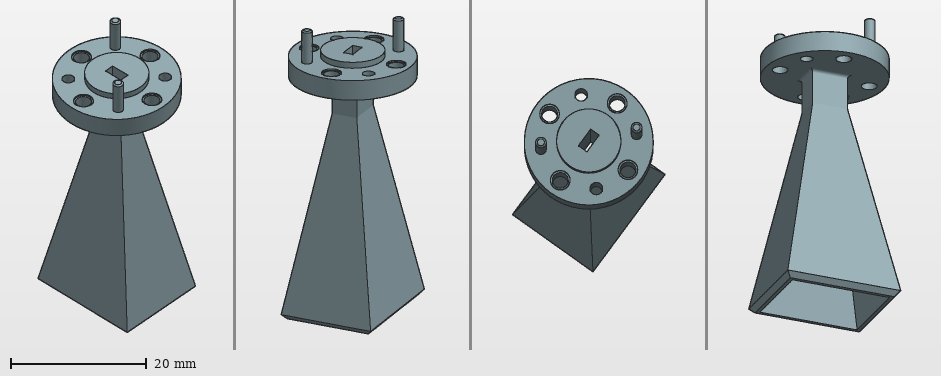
import cadquery as cq
import math

total_height = 45.25
flange_top = 40.15
flange_thickness = 3.12
boss_height = 0.95
neck_bottom = 31.6
mouth_bevel_height = 0.8

flange_diameter = 19.05
boss_diameter = 9.5
bolt_circle_radius = 7.15
screw_hole_diameter = 2.35
counterbore_diameter = 2.9
counterbore_depth = 0.23
dowel_hole_diameter = 1.85
pin_diameter = 1.6
pin_tip_chamfer_height = 0.2
pin_tip_chamfer_inset = 0.25

guide_width = 3.1
guide_depth = 1.55
wall = 1.25
neck_width = guide_width + 2 * wall
neck_depth = guide_depth + 2 * wall
neck_fillet = 0.5
horn_width = 18.15
horn_depth = 14.7
mouth_bevel_inset = 0.72

flange_bottom = flange_top - flange_thickness
boss_top = flange_top + boss_height


def box_between(width, depth, bottom, top):
    """Centred rectangular bar spanning two heights."""
    return cq.Workplane("XY").workplane(offset=bottom).rect(width, depth).extrude(top - bottom)


def frustum(bottom_size, top_size, bottom, top):
    """Centred rectangular frustum between two heights."""
    return (
        cq.Workplane("XY").workplane(offset=bottom).rect(*bottom_size)
        .workplane(offset=top - bottom).rect(*top_size).loft(ruled=True)
    )


def disc(diameter, bottom, top):
    return cq.Workplane("XY").workplane(offset=bottom).circle(diameter / 2).extrude(top - bottom)


def on_bolt_circle(shape, angle):
    """Move a centred shape out to an angle on the bolt circle."""
    x = bolt_circle_radius * math.cos(math.radians(angle))
    y = bolt_circle_radius * math.sin(math.radians(angle))
    return shape.translate((x, y, 0))


body = disc(flange_diameter, flange_bottom, flange_top)
body = body.union(box_between(neck_width, neck_depth, neck_bottom, flange_bottom))
junction = cq.selectors.BoxSelector(
    (-neck_width, -neck_depth, flange_bottom - neck_fillet / 2),
    (neck_width, neck_depth, flange_bottom + neck_fillet / 2),
)
body = body.edges("|X or |Y").edges(junction).fillet(neck_fillet)
body = body.union(disc(boss_diameter, flange_top, boss_top))

horn_size = (horn_width, horn_depth)
rim_size = (horn_width - 2 * mouth_bevel_inset, horn_depth - 2 * mouth_bevel_inset)
body = body.union(frustum(horn_size, (neck_width, neck_depth), mouth_bevel_height, neck_bottom))
body = body.union(frustum(rim_size, horn_size, 0, mouth_bevel_height))

mouth_size = (horn_width - 2 * wall, horn_depth - 2 * wall)
body = body.cut(frustum(mouth_size, (guide_width, guide_depth), 0, neck_bottom))
body = body.cut(box_between(guide_width, guide_depth, neck_bottom, boss_top))

screw_hole = disc(screw_hole_diameter, flange_bottom, flange_top)
screw_hole = screw_hole.union(
    disc(counterbore_diameter, flange_top - counterbore_depth, flange_top)
)
for angle in (0, 90, 180, 270):
    body = body.cut(on_bolt_circle(screw_hole, angle))

dowel_hole = disc(dowel_hole_diameter, flange_bottom, flange_top)
for angle in (45, 225):
    body = body.cut(on_bolt_circle(dowel_hole, angle))

pin = disc(pin_diameter, flange_bottom, total_height)
pin = pin.faces(">Z").chamfer(pin_tip_chamfer_height, pin_tip_chamfer_inset)
for angle in (135, 315):
    body = body.union(on_bolt_circle(pin, angle))

result = body